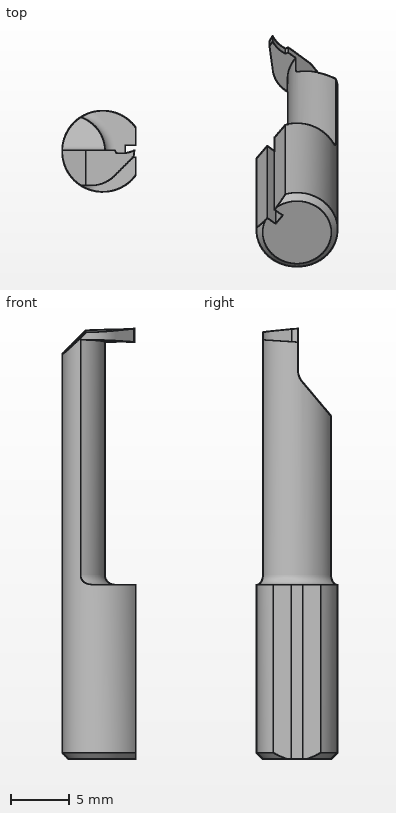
import cadquery as cq
import math

SHANK_RADIUS = 3.5
SHANK_LENGTH = 15.0
FLAT_X = 2.85
END_CHAMFER = 0.55
SLOT_WIDTH = 1.0
SLOT_FLOOR_X = 1.95

NECK_RADIUS = 3.1
NECK_FRONT_X = 0.2
NECK_AXIS_X = NECK_FRONT_X - NECK_RADIUS
NECK_FILLET = 0.8

TOTAL_LENGTH = 37.0
TIP_X = 2.74
TIP_THICKNESS = 1.18
RAKE_Y = 0.1
TIP_LAND_END = (2.66, -0.45)
FLANK_ANGLE = 45.0
FLANK_START_X = 1.0
RELIEF_ANGLE = 3.8
TOP_SIDE_ANGLE = 2.0
CORNER_CUT_X = -1.3

GROOVE_WALL_X = 1.05
GROOVE_FOOT_X = 1.15
GROOVE_MID_X = 1.9
GROOVE_FOOT_Y = -0.14
GROOVE_MID_Y = -0.15

RUNOUT_ANGLE = 50.0
RUNOUT_CORNER_Z = 32.85
RUNOUT_FILLET = 1.4

MARGIN = 1.0


def make_shank():
    shank = cq.Workplane("XY").circle(SHANK_RADIUS).extrude(SHANK_LENGTH)
    shank = shank.faces("<Z").chamfer(END_CHAMFER)
    flat_depth = SHANK_RADIUS - FLAT_X + MARGIN
    flat = cq.Workplane("XY").box(
        flat_depth, 2 * SHANK_RADIUS, SHANK_LENGTH, centered=(False, True, False)
    ).translate((FLAT_X, 0, 0))
    slot = cq.Workplane("XY").box(
        SHANK_RADIUS, SLOT_WIDTH, SHANK_LENGTH, centered=(False, True, False)
    ).translate((SLOT_FLOOR_X, 0, 0))
    return shank.cut(flat).cut(slot)


def make_neck():
    """Offset cylinder with a flared foot, trimmed by the bar cylinder."""
    fillet_centre_r = NECK_RADIUS + NECK_FILLET
    fillet_centre_z = SHANK_LENGTH + NECK_FILLET
    arc_offset = NECK_FILLET * math.sqrt(0.5)
    offset_cylinder = (
        cq.Workplane("XZ")
        .moveTo(0, SHANK_LENGTH)
        .lineTo(fillet_centre_r, SHANK_LENGTH)
        .threePointArc(
            (fillet_centre_r - arc_offset, fillet_centre_z - arc_offset),
            (NECK_RADIUS, fillet_centre_z),
        )
        .lineTo(NECK_RADIUS, TOTAL_LENGTH)
        .lineTo(0, TOTAL_LENGTH)
        .close()
        .revolve(360, (0, 0, 0), (0, 1, 0))
        .translate((NECK_AXIS_X, 0, 0))
    )
    bar = cq.Workplane("XY").circle(SHANK_RADIUS).extrude(TOTAL_LENGTH)
    return bar.intersect(offset_cylinder)


def make_head():
    """Hook-shaped plate whose lower face rises away from the rake face."""
    edge_x = (SHANK_RADIUS**2 - NECK_RADIUS**2 + NECK_AXIS_X**2) / (2 * NECK_AXIS_X)
    edge_y = -math.sqrt(SHANK_RADIUS**2 - edge_x**2)

    flank = math.radians(FLANK_ANGLE)
    land_x, land_y = TIP_LAND_END
    flank_start_y = land_y - (land_x - FLANK_START_X) * math.tan(flank)
    back_radius = (flank_start_y - edge_y) / (1 - math.cos(flank))
    back_centre_x = FLANK_START_X - back_radius * math.sin(flank)
    back_centre_y = edge_y + back_radius
    back_middle = (
        back_centre_x + back_radius * math.sin(flank / 2),
        back_centre_y - back_radius * math.cos(flank / 2),
    )
    base_z = TOTAL_LENGTH - 2 * TIP_THICKNESS
    outline = (
        cq.Workplane("XY", origin=(0, 0, base_z))
        .moveTo(edge_x, RAKE_Y)
        .lineTo(edge_x, edge_y)
        .lineTo(back_centre_x, edge_y)
        .threePointArc(back_middle, (FLANK_START_X, flank_start_y))
        .lineTo(land_x, land_y)
        .lineTo(TIP_X, RAKE_Y)
        .threePointArc((GROOVE_MID_X, GROOVE_MID_Y), (GROOVE_FOOT_X, GROOVE_FOOT_Y))
        .lineTo(GROOVE_WALL_X, RAKE_Y)
        .close()
    )
    plate = outline.extrude(2 * TIP_THICKNESS)

    relief_rise = (RAKE_Y - edge_y) * math.tan(math.radians(RELIEF_ANGLE))
    lower_z = TOTAL_LENGTH - TIP_THICKNESS
    side_profile = (
        cq.Workplane("YZ", origin=(-SHANK_RADIUS, 0, 0))
        .moveTo(RAKE_Y, lower_z)
        .lineTo(RAKE_Y, TOTAL_LENGTH)
        .lineTo(edge_y, TOTAL_LENGTH)
        .lineTo(edge_y, lower_z + relief_rise)
        .close()
        .extrude(2 * SHANK_RADIUS)
    )
    return plate.intersect(side_profile)


def make_rake_cut():
    """Removes the bar on the +Y side of the rake face, ending in a rounded slope."""
    far_y = SHANK_RADIUS + MARGIN
    slope = math.radians(RUNOUT_ANGLE)
    far_z = RUNOUT_CORNER_Z - (far_y - RAKE_Y) * math.tan(slope)
    top_z = TOTAL_LENGTH + MARGIN
    cutter = (
        cq.Workplane("YZ", origin=(-SHANK_RADIUS - MARGIN, 0, 0))
        .moveTo(RAKE_Y, top_z)
        .lineTo(RAKE_Y, RUNOUT_CORNER_Z)
        .lineTo(far_y, far_z)
        .lineTo(far_y, top_z)
        .close()
        .extrude(2 * (SHANK_RADIUS + MARGIN))
    )
    corner_edge = cq.selectors.NearestToPointSelector((0, RAKE_Y, RUNOUT_CORNER_Z))
    return cutter.edges(corner_edge).fillet(RUNOUT_FILLET)


def make_top_cut():
    """Slab above the top face, tilted about the highest point of the tip."""
    pivot = cq.Vector(TIP_X, RAKE_Y, TOTAL_LENGTH)
    slab_size = 4 * SHANK_RADIUS
    slab = cq.Workplane("XY").box(slab_size, slab_size, SHANK_RADIUS, centered=(True, True, False))
    slab = slab.rotate((0, 0, 0), (1, 0, 0), RELIEF_ANGLE)
    slab = slab.rotate((0, 0, 0), (0, 1, 0), -TOP_SIDE_ANGLE)
    return slab.translate(pivot)


def make_corner_cut():
    """Wedge that bevels the head at 45 degrees, sinking with the relief of the top face."""
    run = CORNER_CUT_X + SHANK_RADIUS + MARGIN
    top_z = TOTAL_LENGTH + MARGIN
    wedge = (
        cq.Workplane("XZ", origin=(0, SHANK_RADIUS, 0))
        .moveTo(CORNER_CUT_X + MARGIN, top_z)
        .lineTo(CORNER_CUT_X - run, top_z)
        .lineTo(CORNER_CUT_X - run, TOTAL_LENGTH - run)
        .close()
        .extrude(2 * SHANK_RADIUS)
    )
    pivot = (0, RAKE_Y, TOTAL_LENGTH)
    return wedge.rotate(pivot, (1, RAKE_Y, TOTAL_LENGTH), RELIEF_ANGLE)


upper = make_neck().union(make_head())
upper = upper.cut(make_rake_cut()).cut(make_top_cut()).cut(make_corner_cut())
result = make_shank().union(upper)